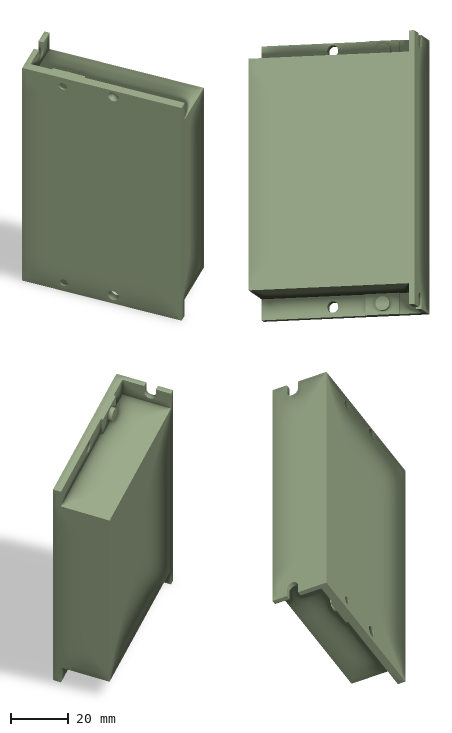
import cadquery as cq

WIDTH = 59.0
DEPTH = 21.0
HEIGHT = 96.0

FRONT_THICKNESS = 3.0
SIDE_THICKNESS = 1.9

LEDGE = 7.4

PAD_LEFT = 9.9
PAD_WIDTH = 12.0
PAD_HEIGHT = 0.8

SLOT_WIDTH = 4.3
SLOT_DEPTH = 5.3
SLOT_Y = 13.2

MOUNT_HOLE_DIAMETER = 3.9
MOUNT_HOLE_X = 33.7
LOWER_MOUNT_HOLE_Z = 3.6
UPPER_MOUNT_HOLE_Z = 93.3

SCREW_DIAMETER = 2.9
SCREW_RECESS = 0.8
HEAD_DIAMETER = 5.0
HEAD_HEIGHT = 1.5
SCREW_INSET = 3.7
LOWER_SCREW_X = 15.5
UPPER_SCREW_X = 15.1

SCREW_PLACES = [(LOWER_SCREW_X, SCREW_INSET), (UPPER_SCREW_X, HEIGHT - SCREW_INSET)]
PAD_FACE_Y = FRONT_THICKNESS + PAD_HEIGHT


def block(x, y, z, width, depth, height):
    """Box with its lowest corner at (x, y, z)."""
    return cq.Workplane("XY").box(width, depth, height, centered=False).translate((x, y, z))


def rod(x, y, z, diameter, length):
    """Cylinder that starts at (x, y, z) and runs toward +Y."""
    start = cq.Vector(x, y, z)
    return cq.Workplane(cq.Solid.makeCylinder(diameter / 2, length, start, cq.Vector(0, 1, 0)))


def make_slot(end_z, inward):
    """Cutter for a round-bottomed slot; inward is +1 at the base and -1 at the top."""
    half_width = SLOT_WIDTH / 2
    arc_start_z = end_z + inward * (SLOT_DEPTH - half_width)
    return (
        cq.Workplane("YZ")
        .moveTo(SLOT_Y - half_width, end_z)
        .lineTo(SLOT_Y - half_width, arc_start_z)
        .threePointArc((SLOT_Y, end_z + inward * SLOT_DEPTH), (SLOT_Y + half_width, arc_start_z))
        .lineTo(SLOT_Y + half_width, end_z)
        .close()
        .extrude(SIDE_THICKNESS)
    )


def make_housing():
    front_plate = block(0, 0, 0, WIDTH, FRONT_THICKNESS, HEIGHT)
    side_plate = block(0, 0, 0, SIDE_THICKNESS, DEPTH, HEIGHT)
    box = block(0, 0, LEDGE, WIDTH, DEPTH, HEIGHT - 2 * LEDGE)
    housing = front_plate.union(side_plate).union(box)

    for pad_z in (0, HEIGHT - LEDGE):
        housing = housing.union(block(PAD_LEFT, 0, pad_z, PAD_WIDTH, PAD_FACE_Y, LEDGE))

    for end_z, inward in ((0, 1), (HEIGHT, -1)):
        housing = housing.cut(make_slot(end_z, inward))

    for hole_z in (LOWER_MOUNT_HOLE_Z, UPPER_MOUNT_HOLE_Z):
        housing = housing.cut(rod(MOUNT_HOLE_X, 0, hole_z, MOUNT_HOLE_DIAMETER, FRONT_THICKNESS))

    for screw_x, screw_z in SCREW_PLACES:
        housing = housing.cut(rod(screw_x, 0, screw_z, SCREW_DIAMETER, PAD_FACE_Y))
    return housing


def make_screw(x, z):
    """Screw with its head seated on the pad."""
    shank = rod(x, SCREW_RECESS, z, SCREW_DIAMETER, PAD_FACE_Y - SCREW_RECESS)
    head = rod(x, PAD_FACE_Y, z, HEAD_DIAMETER, HEAD_HEIGHT)
    return shank.union(head)


housing = make_housing()
screws = [make_screw(x, z).val() for x, z in SCREW_PLACES]

result = cq.Compound.makeCompound([housing.val(), *screws])